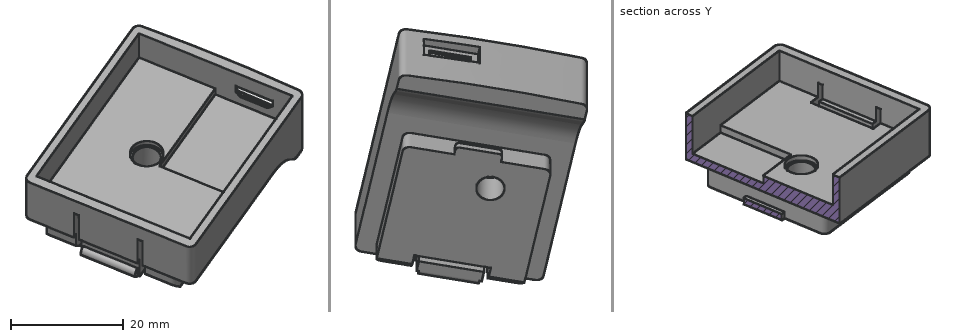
import cadquery as cq

width = 34.2
height = 14.5
front_y = -21.15
back_y = 21.3
back_corner_y = 20.85
corner_radius = 1.28
body_bottom = 4.47

cavity_width = 31.1
cavity_front = -19.25
cavity_back = 19.15
floor_z = 7.95
pocket_floor_z = 6.4
pocket_left = -0.1
pocket_front = -1.7

curve_start_y = 9.2
curve_slope_y = 14.7
curve_slope_z = 2.5
slope_end_y = 16.7
slope_end_z = 0.6
foot_y = 17.7

base_width = 26.85
base_front = -20.27
base_back = 5.8
base_corner_radius = 1.25
base_chamfer = 1.28
tab_width = 8.5
tab_length = 1.6
tab_height = 1.4
tab_radius = 0.7

hole_x = -3.5
hole_y = -0.2
hole_diameter = 5.03
counterbore_diameter = 6.0
counterbore_depth = 1.05

clip_opening_width = 13.9
clip_opening_back = -17.08
clip_slit_width = 1.02
clip_slit_top = 11.0
clip_width = clip_opening_width - 2 * clip_slit_width
clip_back = -18.2
clip_bead_radius = 1.02
clip_bead_width = 11.0

window_left = 3.95
window_right = 11.55
window_bottom = 8.45
window_top = 10.8
window_chamfer = 1.02
window_wall = 0.5
window_recess_margin = 1.28


def box(x0, x1, y0, y1, z0, z1):
    """Block between two opposite corners."""
    return cq.Workplane("XY").box(x1 - x0, y1 - y0, z1 - z0, centered=False).translate((x0, y0, z0))


def centred_box(size_x, y0, y1, z0, z1):
    """Block centred on X."""
    return box(-size_x / 2, size_x / 2, y0, y1, z0, z1)


def tray_body():
    """Rounded block with a bowed back, a raised underside and a rear foot."""
    block = (
        cq.Workplane("XY")
        .moveTo(-width / 2, front_y)
        .lineTo(width / 2, front_y)
        .lineTo(width / 2, back_corner_y)
        .threePointArc((0, back_y), (-width / 2, back_corner_y))
        .close()
        .extrude(height)
        .edges("|Z")
        .fillet(corner_radius)
    )
    side_profile = (
        cq.Workplane("YZ")
        .moveTo(front_y, body_bottom)
        .lineTo(curve_start_y, body_bottom)
        .tangentArcPoint((curve_slope_y, curve_slope_z), relative=False)
        .lineTo(slope_end_y, slope_end_z)
        .tangentArcPoint((foot_y, 0), relative=False)
        .lineTo(back_y, 0)
        .lineTo(back_y, height)
        .lineTo(front_y, height)
        .close()
        .extrude(width / 2, both=True)
    )
    return block.intersect(side_profile)


def base():
    """Rounded base with a chamfered front underside and a rear locating tab."""
    block = centred_box(base_width, base_front, base_back, 0, body_bottom)
    block = block.edges("|Z").fillet(base_corner_radius)
    chamfer = (
        cq.Workplane("YZ")
        .moveTo(base_front, 0)
        .lineTo(base_front + base_chamfer, 0)
        .lineTo(base_front, base_chamfer)
        .close()
        .extrude(base_width / 2, both=True)
    )
    tab = centred_box(tab_width, base_back - tab_length, base_back + tab_length, 0, tab_height)
    tab = tab.edges("|Z and >Y").fillet(tab_radius)
    return block.cut(chamfer).union(tab)


def cavity():
    """Open tray space with a deeper pocket in its rear right corner."""
    tray = centred_box(cavity_width, cavity_front, cavity_back, floor_z, height)
    pocket = box(pocket_left, cavity_width / 2, pocket_front, cavity_back, pocket_floor_z, height)
    return tray.union(pocket)


def screw_hole():
    """Through hole with a counterbore in the tray floor."""
    hole = cq.Workplane("XY").center(hole_x, hole_y).circle(hole_diameter / 2).extrude(height)
    counterbore = (
        cq.Workplane("XY", origin=(hole_x, hole_y, floor_z - counterbore_depth))
        .circle(counterbore_diameter / 2)
        .extrude(counterbore_depth)
    )
    return hole.union(counterbore)


def clip_clearance():
    """U-shaped gap around the clip, with a slit up the front wall on each side."""
    gap = centred_box(clip_opening_width, clip_back, clip_opening_back, 0, floor_z)
    for slit_left in (-clip_opening_width / 2, clip_width / 2):
        slit_right = slit_left + clip_slit_width
        gap = gap.union(box(slit_left, slit_right, front_y, clip_opening_back, 0, clip_slit_top))
    return gap


def clip():
    """Clip arm carrying a round latch bead at its lower front edge."""
    arm = centred_box(clip_width, base_front, clip_back, 0, floor_z)
    bead_y = -back_y + clip_bead_radius
    bead = (
        cq.Workplane("YZ")
        .center(bead_y, clip_bead_radius)
        .circle(clip_bead_radius)
        .extrude(clip_bead_width / 2, both=True)
    )
    return arm.union(bead)


def connector_window():
    """Opening with chamfered lower corners, widened by a recess in the outer back face."""
    window = box(window_left, window_right, cavity_back, back_y, window_bottom, window_top)
    window = window.edges("|Y and <Z").chamfer(window_chamfer)
    recess = box(
        window_left - window_recess_margin,
        window_right + window_recess_margin,
        cavity_back + window_wall,
        back_y,
        window_bottom - window_recess_margin,
        window_top + window_recess_margin,
    )
    return window.union(recess)


result = (
    tray_body()
    .union(base())
    .cut(cavity())
    .cut(screw_hole())
    .cut(clip_clearance())
    .union(clip())
    .cut(connector_window())
)